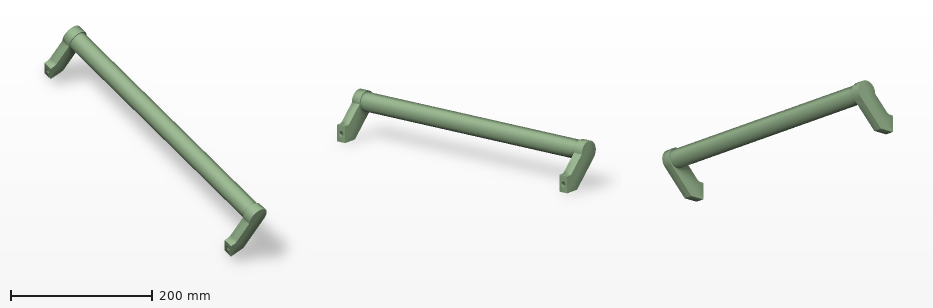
import cadquery as cq
import math

length = 414.0
depth = 66.0

bar_radius = 14.0
leg_thickness = 14.0
head_radius = 16.0
foot_height = 25.0
foot_fillet = 8.3

hole_diameter = 6.5
hole_mouth_diameter = 8.0
hole_depth = 15.0
drill_tip_angle = 118.0

reach = depth - head_radius


def make_leg(start_x):
    """Cranked leg: round head, arm sloping at 45 degrees and upright foot."""
    diagonal = head_radius * math.sqrt(0.5)
    slope_end_y = -head_radius - (reach - foot_height)
    lower_corner_y = 2 * diagonal - reach
    leg = (
        cq.Workplane("YZ", origin=(start_x, 0, 0))
        .moveTo(-head_radius, 0)
        .lineTo(slope_end_y, foot_height - reach)
        .lineTo(-reach, foot_height - reach)
        .lineTo(-reach, -reach)
        .lineTo(lower_corner_y, -reach)
        .lineTo(diagonal, -diagonal)
        .threePointArc((diagonal, diagonal), (-head_radius, 0))
        .close()
        .extrude(leg_thickness)
    )
    inner_corner = cq.NearestToPointSelector(
        (start_x + leg_thickness / 2, slope_end_y, foot_height - reach)
    )
    return leg.edges("|X").edges(inner_corner).fillet(foot_fillet)


def make_hole(center_x):
    """Drilled hole with a chamfered mouth and a conical bottom, running back from the foot face."""
    hole_radius = hole_diameter / 2
    mouth_radius = hole_mouth_diameter / 2
    mouth_chamfer = mouth_radius - hole_radius
    tip_length = hole_radius / math.tan(math.radians(drill_tip_angle / 2))
    hole_z = foot_height / 2 - reach
    axis_start = (0, 0, 0)
    axis_end = (0, 1, 0)
    return (
        cq.Workplane("XY")
        .moveTo(0, 0)
        .lineTo(mouth_radius, 0)
        .lineTo(hole_radius, mouth_chamfer)
        .lineTo(hole_radius, hole_depth)
        .lineTo(0, hole_depth + tip_length)
        .close()
        .revolve(360, axis_start, axis_end)
        .translate((center_x, -reach, hole_z))
    )


result = cq.Workplane("YZ", origin=(-length / 2, 0, 0)).circle(bar_radius).extrude(length)

leg_starts = (-length / 2, length / 2 - leg_thickness)
for leg_start in leg_starts:
    result = result.union(make_leg(leg_start))
for leg_start in leg_starts:
    result = result.cut(make_hole(leg_start + leg_thickness / 2))